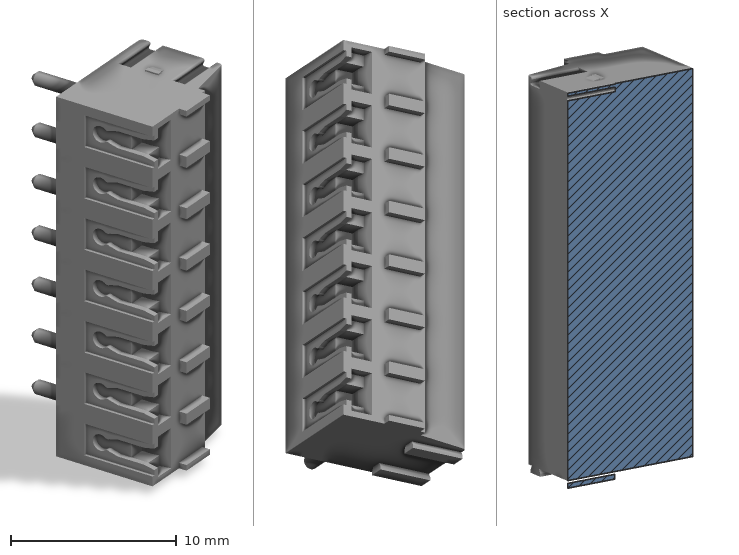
import cadquery as cq
import math

pole_count = 7
housing_depth = 7.02
housing_width = 9.15
housing_height = 24.5
pole_pitch = housing_height / pole_count

shelf_y = 5.7
slope_bottom_x = 6.52
slope_top_x = 5.95
back_corner_radius = 0.3
front_corner_radius = 0.28

spacer_length = 0.55
spacer_height = 0.75
spacer_y_min = 2.85
spacer_y_max = 5.37

pin_length = 4.46
pin_diameter = 0.93
pin_y = 4.15
pin_tip_length = 0.33
pin_tip_diameter = 0.35

recess_x = 2.05
recess_height = 2.15
recess_depth = 0.2
keyhole_depth = 0.58
bulb_x = 3.08
bulb_radius = 0.55
bulb_end_angle = 50
neck_x = 3.55
neck_half_height = 0.38
neck_end_x = 3.75
neck_end_half_height = 0.43
slot_x = 4.36
slot_half_height = 0.58
flare_x = 6.25
flare_half_height = 0.73
well_x = 5.07
well_depth = 1.75
well_half_height = 0.65
relief_x = 5.15
relief_width = 0.25
relief_sag = 0.015
mouth_x = 6.27
mouth_half_height = (pole_pitch - spacer_height) / 2
ramp_x = 5.77
ramp_drop = 0.25

rail_centres_x = (1.1, 5.05)
rail_base_width = 0.75
rail_width = 1.05
rail_height = 0.48
rail_taper_height = 0.28
groove_mouth_width = 1.1
groove_lip_radius = 0.15
groove_depth = 0.53
groove_corner_radius = 0.13

latch_x = 3.072
latch_y_min = 5.77
latch_y_crest = 6.1
latch_y_max = 6.57
latch_height = 0.1
latch_block_width = 0.95
latch_ramp_width = 0.8


def box(x_range, y_range, z_range):
    """Box between two limits along each axis."""
    (x0, x1), (y0, y1), (z0, z1) = x_range, y_range, z_range
    return cq.Workplane("XY").box(x1 - x0, y1 - y0, z1 - z0, centered=False).translate((x0, y0, z0))


def make_housing():
    """Stepped profile extruded along Z, with its two +Y corners rounded."""
    profile = [
        (0, 0),
        (housing_depth, 0),
        (housing_depth, shelf_y),
        (slope_bottom_x, shelf_y),
        (slope_top_x, housing_width),
        (0, housing_width),
    ]
    housing = cq.Workplane("XY").polyline(profile).close().extrude(housing_height)
    corners = housing.faces(">Y").edges("|Z")
    housing = corners.edges("<X").fillet(back_corner_radius)
    return housing.faces(">Y").edges("|Z").edges(">X").fillet(front_corner_radius)


def make_spacer(boundary_z):
    """Block around one pole boundary, trimmed to a half block at either end of the housing."""
    z_min = max(boundary_z - spacer_height / 2, 0)
    z_max = min(boundary_z + spacer_height / 2, housing_height)
    x_range = (housing_depth, housing_depth + spacer_length)
    return box(x_range, (spacer_y_min, spacer_y_max), (z_min, z_max))


def make_pin(pole_z):
    """Round pin along -X with a conical tip."""
    radius = pin_diameter / 2
    shoulder_x = pin_tip_length - pin_length
    half_profile = [
        (0, 0),
        (0, radius),
        (shoulder_x, radius),
        (-pin_length, pin_tip_diameter / 2),
        (-pin_length, 0),
    ]
    pin = cq.Workplane("XY").polyline(half_profile).close().revolve(360, (0, 0), (1, 0))
    return pin.translate((0, pin_y, pole_z))


def keyhole_outline():
    """Keyhole in X and Z, closed by a bulb at -X and flared open at +X."""
    end_angle = math.radians(bulb_end_angle)
    bulb_end_x = bulb_x + bulb_radius * math.cos(end_angle)
    bulb_end_z = bulb_radius * math.sin(end_angle)
    return (
        cq.Workplane("XZ")
        .moveTo(housing_depth, -flare_half_height)
        .lineTo(flare_x, -slot_half_height)
        .lineTo(slot_x, -slot_half_height)
        .lineTo(neck_end_x, -neck_end_half_height)
        .threePointArc((neck_x, -neck_half_height), (bulb_end_x, -bulb_end_z))
        .threePointArc((bulb_x - bulb_radius, 0), (bulb_end_x, bulb_end_z))
        .threePointArc((neck_x, neck_half_height), (neck_end_x, neck_end_half_height))
        .lineTo(slot_x, slot_half_height)
        .lineTo(flare_x, slot_half_height)
        .lineTo(housing_depth, flare_half_height)
        .close()
    )


def make_well():
    """Deep space behind the keyhole: step, flat floor with a relief groove, ramp and wide mouth at +X."""
    side_profile = (
        cq.Workplane("XY")
        .moveTo(well_x, keyhole_depth)
        .lineTo(well_x, well_depth)
        .lineTo(relief_x, well_depth)
        .threePointArc(
            (relief_x + relief_width / 2, well_depth + relief_sag),
            (relief_x + relief_width, well_depth),
        )
        .lineTo(ramp_x, well_depth)
        .lineTo(housing_depth, well_depth + ramp_drop)
        .lineTo(housing_depth, keyhole_depth)
        .close()
    )
    y_range = (keyhole_depth, well_depth + ramp_drop)
    channel = box((well_x, housing_depth), y_range, (-well_half_height, well_half_height))
    mouth = box((mouth_x, housing_depth), y_range, (-mouth_half_height, mouth_half_height))
    return side_profile.extrude(mouth_half_height, both=True).intersect(channel.union(mouth))


def make_pole_cut(pole_z):
    """Shallow recess, keyhole in its floor and deep well behind the keyhole."""
    half_recess = recess_height / 2
    recess = box((recess_x, housing_depth), (0, recess_depth), (-half_recess, half_recess))
    keyhole = keyhole_outline().extrude(-keyhole_depth)
    return recess.union(keyhole).union(make_well()).translate((0, 0, pole_z))


def make_rail(centre_x):
    """Dovetail rail hanging below the housing, along Y."""
    half_base = rail_base_width / 2
    half_width = rail_width / 2
    section = [
        (-half_base, 0),
        (-half_width, -rail_taper_height),
        (-half_width, -rail_height),
        (half_width, -rail_height),
        (half_width, -rail_taper_height),
        (half_base, 0),
    ]
    rail = cq.Workplane("XZ").polyline(section).close().extrude(-(housing_width - shelf_y))
    return rail.translate((centre_x, shelf_y, 0))


def make_groove(centre_x):
    """Undercut groove in the +Z face with rounded lips and floor corners."""
    half_mouth = groove_mouth_width / 2
    half_throat = half_mouth - groove_lip_radius
    half_floor = half_throat + groove_corner_radius
    corner_z = groove_corner_radius - groove_depth
    groove = (
        cq.Workplane("XZ")
        .moveTo(-half_mouth, 0)
        .radiusArc((-half_throat, -groove_lip_radius), groove_lip_radius)
        .lineTo(-half_floor, corner_z)
        .radiusArc((-half_throat, -groove_depth), -groove_corner_radius)
        .lineTo(half_throat, -groove_depth)
        .radiusArc((half_floor, corner_z), -groove_corner_radius)
        .lineTo(half_throat, -groove_lip_radius)
        .radiusArc((half_mouth, 0), groove_lip_radius)
        .close()
        .extrude(-(housing_width - shelf_y))
    )
    return groove.translate((centre_x, shelf_y, housing_height))


def make_latch():
    """Low block with a narrower ramp falling towards +Y."""
    half_block = latch_block_width / 2
    block = box((-half_block, half_block), (latch_y_min, latch_y_crest), (0, latch_height))
    ramp = (
        cq.Workplane("YZ")
        .polyline([(latch_y_crest, 0), (latch_y_max, 0), (latch_y_crest, latch_height)])
        .close()
        .extrude(latch_ramp_width / 2, both=True)
    )
    return block.union(ramp).translate((latch_x, 0, housing_height))


result = make_housing().union(make_latch())

for centre_x in rail_centres_x:
    result = result.union(make_rail(centre_x)).cut(make_groove(centre_x))

for index in range(pole_count):
    pole_z = (index + 0.5) * pole_pitch
    result = result.union(make_pin(pole_z)).cut(make_pole_cut(pole_z))

for index in range(pole_count + 1):
    result = result.union(make_spacer(index * pole_pitch))